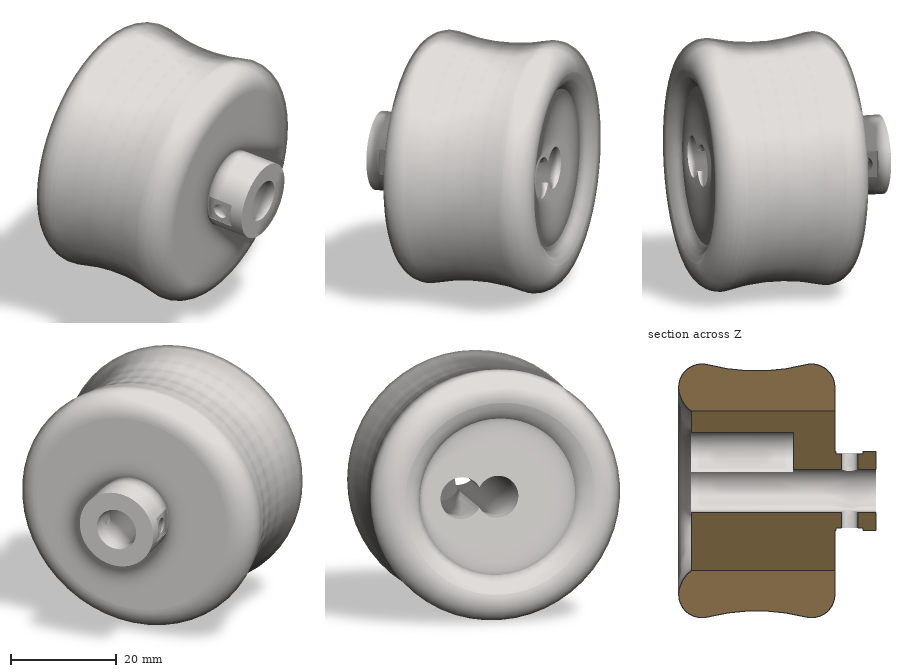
import cadquery as cq
import math

outer_diameter = 48.0
wheel_width = 29.57
total_length = 37.3

rim_radius = 4.45
shoulder_tilt = math.radians(14.5)
dish_radius = 6.25
hub_diameter = 30.0

boss_diameter = hub_diameter / 2
axle_hole_diameter = 8.0
side_hole_offset = 7.0
side_hole_depth = 19.2

flat_size = 5.0
flat_depth = 0.5
flat_gap = 0.25
cross_hole_diameter = 3.0

outer_radius = outer_diameter / 2
hub_radius = hub_diameter / 2
boss_radius = boss_diameter / 2
rim_center_x = rim_radius
rim_center_r = outer_radius - rim_radius
tilt_sin = math.sin(shoulder_tilt)
tilt_cos = math.cos(shoulder_tilt)

tread_join_x = rim_center_x + rim_radius * tilt_sin
tread_join_r = rim_center_r + rim_radius * tilt_cos
tread_half_width = wheel_width / 2 - tread_join_x
tread_radius = tread_half_width / tilt_sin
tread_middle_r = tread_join_r - tread_radius * (1 - tilt_cos)

dish_start_x = rim_center_x - rim_radius * tilt_cos
dish_start_r = rim_center_r - rim_radius * tilt_sin
dish_center_x = dish_start_x + dish_radius * tilt_cos
dish_center_r = dish_start_r + dish_radius * tilt_sin
dish_end_angle = math.asin((dish_center_r - hub_radius) / dish_radius)
hub_face_x = dish_center_x - dish_radius * math.cos(dish_end_angle)
dish_middle_angle = (shoulder_tilt + dish_end_angle) / 2


def cylinder_along_x(diameter, start_x, end_x, offset_y=0.0):
    plane = cq.Workplane("YZ", origin=(start_x, offset_y, 0))
    return plane.circle(diameter / 2).extrude(end_x - start_x)


def make_tire():
    """Ring with rounded shoulders, a hollow tread and a dished front wall."""
    diagonal = rim_radius * math.sqrt(0.5)
    front_middle = (rim_center_x - diagonal, rim_center_r + diagonal)
    back_middle = (wheel_width - front_middle[0], front_middle[1])
    dish_middle = (
        dish_center_x - dish_radius * math.cos(dish_middle_angle),
        dish_center_r - dish_radius * math.sin(dish_middle_angle),
    )
    section = (
        cq.Workplane("XY")
        .moveTo(hub_face_x, hub_radius)
        .threePointArc(dish_middle, (dish_start_x, dish_start_r))
        .threePointArc(front_middle, (tread_join_x, tread_join_r))
        .threePointArc((wheel_width / 2, tread_middle_r), (wheel_width - tread_join_x, tread_join_r))
        .threePointArc(back_middle, (wheel_width, rim_center_r))
        .lineTo(wheel_width, hub_radius)
        .close()
    )
    return section.revolve(360, (0, 0, 0), (1, 0, 0))


def cut_boss_flats(hub):
    """Square flats on both Y sides of the boss, joined by a cross hole."""
    flat_center_x = wheel_width + flat_gap + flat_size / 2
    flat_center_y = boss_radius - flat_depth / 2
    for side in (-1, 1):
        flat = cq.Workplane("XY").box(flat_size, flat_depth, flat_size)
        hub = hub.cut(flat.translate((flat_center_x, side * flat_center_y, 0)))
    cross_hole = (
        cq.Workplane("XZ", origin=(flat_center_x, 0, 0))
        .circle(cross_hole_diameter / 2)
        .extrude(boss_radius, both=True)
    )
    return hub.cut(cross_hole)


def make_hub():
    """Disc filling the tire, with a boss on its back and two overlapping holes."""
    hub = cylinder_along_x(hub_diameter, hub_face_x, wheel_width)
    hub = hub.union(cylinder_along_x(boss_diameter, wheel_width, total_length))
    hub = hub.cut(cylinder_along_x(axle_hole_diameter, hub_face_x, total_length))
    side_hole_end_x = hub_face_x + side_hole_depth
    hub = hub.cut(cylinder_along_x(axle_hole_diameter, hub_face_x, side_hole_end_x, side_hole_offset))
    return cut_boss_flats(hub)


tire = make_tire()
hub = make_hub()
result = cq.Compound.makeCompound([tire.val(), hub.val()])